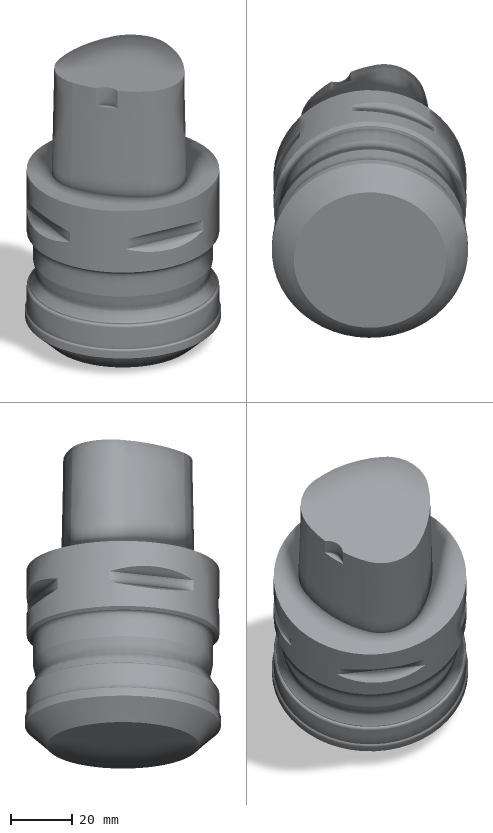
import cadquery as cq
import math

TOTAL_HEIGHT = 98.05
FLANGE_TOP = 60.1
SLOT_HEIGHT = 48.0
FLANGE_BOTTOM = 37.75
FLANGE_BEVEL_BOTTOM = 36.9
NECK_TOP = 36.1
NECK_BOTTOM = 28.0
GROOVE_TOP = 23.9
GROOVE_BOTTOM = 22.5
SHOULDER_TOP = 19.5
SHOULDER_EDGE = 18.9
SEAM_HEIGHT = 18.5
RIM_STEP = 9.9
RIM_BOTTOM = 6.8

FLANGE_RADIUS = 63.0 / 2
NECK_RADIUS = 59.0 / 2
GROOVE_RADIUS = 28.6
GROOVE_BULGE = 0.1
SHOULDER_TOP_RADIUS = 30.3
SHOULDER_RADIUS = 30.7
RIM_RADIUS = 64.2 / 2
BOTTOM_RADIUS = 24.9
RIM_ROUND = RIM_RADIUS - FLANGE_RADIUS
RING_EDGE_ROUND = FLANGE_RADIUS - SHOULDER_RADIUS
NECK_FILLET = FLANGE_BEVEL_BOTTOM - NECK_TOP

LOBE_COUNT = 3
LOBE_REACH = 23.5
FLAT_REACH = 20.3
LOBE_RADIUS = 14.5
SHANK_INSET = 0.8
SHANK_HEIGHT = TOTAL_HEIGHT - FLANGE_TOP

NOTCH_RADIUS = 4.9
NOTCH_DEPTH = 6.4
NOTCH_REACH = 17.7

SLOT_COUNT = 4
SLOT_FLOOR_REACH = 27.9
SLOT_FLOOR_WIDTH = 3.5
SLOT_MOUTH_WIDTH = 7.6


def polar(distance, degrees):
    angle = math.radians(degrees)
    return (distance * math.cos(angle), distance * math.sin(angle))


def shank_outline():
    """Tangent arcs: three tight lobes joined by three shallow sides."""
    lobe_center = LOBE_REACH - LOBE_RADIUS
    half_step = math.pi / LOBE_COUNT
    across = lobe_center * math.sin(half_step)
    along = lobe_center * math.cos(half_step)
    gap = FLAT_REACH - along
    side_radius = (across**2 + gap**2 - LOBE_RADIUS**2) / (2 * (gap - LOBE_RADIUS))
    side_center = side_radius - FLAT_REACH
    normal = math.atan2(across, side_center + along)
    joint_across = side_radius * math.sin(normal)
    joint_along = side_radius * math.cos(normal) - side_center
    joint_reach = math.hypot(joint_across, joint_along)
    joint_angle = math.degrees(math.atan2(joint_across, joint_along))

    side_step = 360 / LOBE_COUNT
    first_side = -90
    outline = cq.Workplane("XY").workplane(offset=FLANGE_TOP)
    outline = outline.moveTo(*polar(joint_reach, first_side - joint_angle))
    for index in range(LOBE_COUNT):
        side = first_side + index * side_step
        outline = outline.threePointArc(
            polar(FLAT_REACH, side), polar(joint_reach, side + joint_angle)
        )
        outline = outline.threePointArc(
            polar(LOBE_REACH, side + side_step / 2),
            polar(joint_reach, side + side_step - joint_angle),
        )
    return outline.close()


def make_shank():
    draft = math.degrees(math.atan2(SHANK_INSET, SHANK_HEIGHT))
    shank = shank_outline().extrude(SHANK_HEIGHT, taper=draft)
    notch = (
        cq.Workplane("XY")
        .workplane(offset=TOTAL_HEIGHT - NOTCH_DEPTH)
        .center(0, -NOTCH_REACH - NOTCH_RADIUS)
        .circle(NOTCH_RADIUS)
        .extrude(NOTCH_DEPTH)
    )
    return shank.cut(notch)


def make_turned_base():
    """Flange, neck and groove of the adapter, turned about Z."""
    fillet_slack = NECK_FILLET * (1 - math.sqrt(0.5))
    neck_fillet_middle = (NECK_RADIUS + fillet_slack, NECK_TOP + NECK_FILLET - fillet_slack)
    groove_middle = (GROOVE_RADIUS - GROOVE_BULGE, (GROOVE_TOP + GROOVE_BOTTOM) / 2)
    return (
        cq.Workplane("XZ")
        .moveTo(0, FLANGE_TOP)
        .lineTo(FLANGE_RADIUS, FLANGE_TOP)
        .lineTo(FLANGE_RADIUS, FLANGE_BOTTOM)
        .lineTo(NECK_RADIUS + NECK_FILLET, FLANGE_BEVEL_BOTTOM)
        .threePointArc(neck_fillet_middle, (NECK_RADIUS, NECK_TOP))
        .lineTo(NECK_RADIUS, NECK_BOTTOM)
        .lineTo(GROOVE_RADIUS, GROOVE_TOP)
        .threePointArc(groove_middle, (GROOVE_RADIUS, GROOVE_BOTTOM))
        .lineTo(SHOULDER_TOP_RADIUS, SHOULDER_TOP)
        .lineTo(SHOULDER_RADIUS, SHOULDER_EDGE)
        .lineTo(SHOULDER_RADIUS, SEAM_HEIGHT)
        .lineTo(0, SEAM_HEIGHT)
        .close()
        .revolve(360, (0, 0, 0), (0, 1, 0))
    )


def make_slot_cutter(direction):
    """Straight slot with a flat floor and flared walls, facing the given angle."""
    mouth_depth = FLANGE_RADIUS - SLOT_FLOOR_REACH
    cutter = (
        cq.Workplane("YZ")
        .workplane(offset=SLOT_FLOOR_REACH)
        .center(0, SLOT_HEIGHT)
        .rect(2 * FLANGE_RADIUS, SLOT_FLOOR_WIDTH)
        .workplane(offset=mouth_depth)
        .rect(2 * FLANGE_RADIUS, SLOT_MOUTH_WIDTH)
        .loft(ruled=True)
    )
    return cutter.rotate((0, 0, 0), (0, 0, 1), direction)


def make_adapter():
    adapter = make_turned_base().union(make_shank())
    slot_step = 360 / SLOT_COUNT
    for index in range(SLOT_COUNT):
        adapter = adapter.cut(make_slot_cutter((index + 0.5) * slot_step))
    return adapter


def make_ring():
    """Lower ring with a rounded top edge, a raised rim and a conical underside."""
    return (
        cq.Workplane("XZ")
        .lineTo(BOTTOM_RADIUS, 0)
        .lineTo(RIM_RADIUS, RIM_BOTTOM)
        .lineTo(RIM_RADIUS, RIM_STEP - RIM_ROUND)
        .radiusArc((FLANGE_RADIUS, RIM_STEP), -RIM_ROUND)
        .lineTo(FLANGE_RADIUS, SEAM_HEIGHT - RING_EDGE_ROUND)
        .radiusArc((SHOULDER_RADIUS, SEAM_HEIGHT), -RING_EDGE_ROUND)
        .lineTo(0, SEAM_HEIGHT)
        .close()
        .revolve(360, (0, 0, 0), (0, 1, 0))
    )


adapter = make_adapter()
ring = make_ring()
result = cq.Compound.makeCompound([adapter.solids().val(), ring.val()])